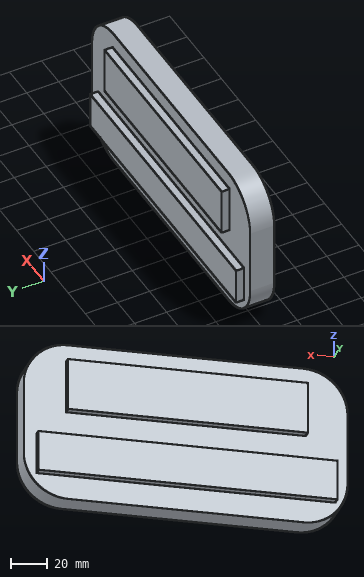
import cadquery as cq

plate_length = 184.1
plate_height = 91.5
plate_thickness = 15.1
corner_radius = 25.0

band_relief = 5.0
upper_band_length = 136.2
lower_band_length = 169.7
upper_band_bottom = 5.7
upper_band_top = 35.3
lower_band_bottom = -32.2
lower_band_top = -9.2


def make_plate():
    """Rounded plate centred on X and Z, with its front face at Y = 0."""
    return (
        cq.Workplane("XY")
        .box(plate_length, plate_thickness, plate_height, centered=(True, False, True))
        .edges("|Y")
        .fillet(corner_radius)
    )


def make_band(length, bottom, top):
    """Raised band, centred on X, on the back face, between two heights in Z."""
    return (
        cq.Workplane("XY", origin=(0, plate_thickness, bottom))
        .box(length, band_relief, top - bottom, centered=(True, False, False))
    )


upper_band = make_band(upper_band_length, upper_band_bottom, upper_band_top)
lower_band = make_band(lower_band_length, lower_band_bottom, lower_band_top)

result = make_plate().union(upper_band).union(lower_band)